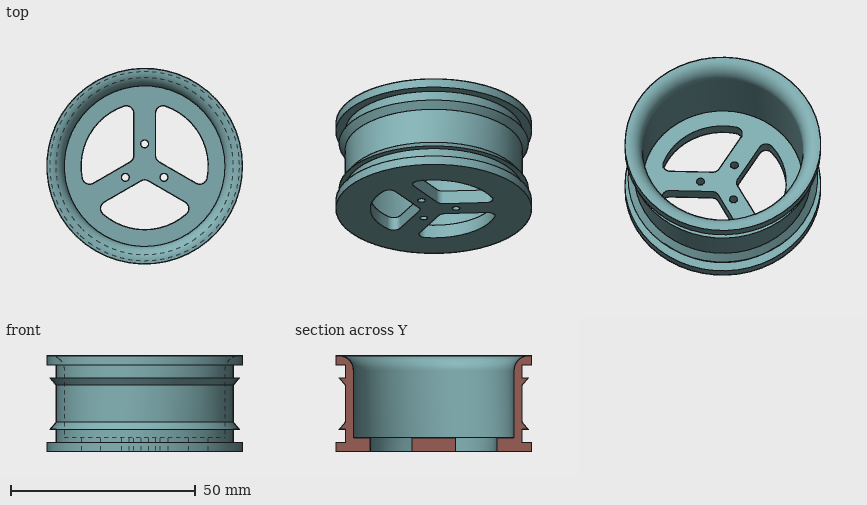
import cadquery as cq

height = 26.0
flange_radius = 26.5
flange_width = 2.55
barrel_radius = 24.0
ridge_radius = 25.65
ridge_width = 1.95
ridge_start = 6.05

bore_radius = 21.75
lip_radius = 4.0
floor_thickness = 3.8

spoke_count = 3
spoke_width = 5.95
window_radius = 17.15
window_fillet = 2.0
bolt_circle_radius = 6.05
bolt_hole_diameter = 2.05


def ring(inner_radius, outer_radius, bottom, top):
    """Flat-sided ring about the Z axis."""
    blank = cq.Workplane("XY").workplane(offset=bottom).circle(outer_radius).circle(inner_radius)
    return blank.extrude(top - bottom)


def ridge():
    """Lower ridge: flat toward the end flange, tapering into the barrel."""
    return (
        cq.Workplane("XZ")
        .moveTo(bore_radius, ridge_start)
        .lineTo(ridge_radius, ridge_start)
        .lineTo(barrel_radius, ridge_start + ridge_width)
        .lineTo(bore_radius, ridge_start + ridge_width)
        .close()
        .revolve(360, (0, 0, 0), (0, 1, 0))
    )


def cavity():
    """Round cavity flaring out along a quarter arc at its open end."""
    lip_bottom = height - lip_radius
    return (
        cq.Workplane("XZ")
        .moveTo(0, floor_thickness)
        .lineTo(bore_radius, floor_thickness)
        .lineTo(bore_radius, lip_bottom)
        .radiusArc((bore_radius + lip_radius, height), lip_radius)
        .lineTo(0, height)
        .close()
        .revolve(360, (0, 0, 0), (0, 1, 0))
    )


def windows():
    """Rounded sectors left between the evenly spaced spokes."""
    spoke_length = window_radius + spoke_width
    sectors = cq.Workplane("XY").circle(window_radius).extrude(floor_thickness)
    for index in range(spoke_count):
        spoke = (
            cq.Workplane("XY")
            .center(0, spoke_length / 2)
            .rect(spoke_width, spoke_length)
            .extrude(floor_thickness)
        )
        sectors = sectors.cut(spoke.rotate((0, 0, 0), (0, 0, 1), index * 360 / spoke_count))
    return sectors.edges("|Z").fillet(window_fillet)


def bolt_holes():
    """One hole centred on each spoke."""
    return (
        cq.Workplane("XY")
        .polarArray(bolt_circle_radius, 90, 360, spoke_count)
        .circle(bolt_hole_diameter / 2)
        .extrude(floor_thickness)
    )


lower_ridge = ridge()
upper_ridge = lower_ridge.mirror("XY").translate((0, 0, height))

result = (
    cq.Workplane("XY")
    .circle(barrel_radius)
    .extrude(height)
    .union(ring(bore_radius, flange_radius, 0, flange_width))
    .union(ring(bore_radius, flange_radius, height - flange_width, height))
    .union(lower_ridge)
    .union(upper_ridge)
    .cut(cavity())
    .cut(windows())
    .cut(bolt_holes())
)